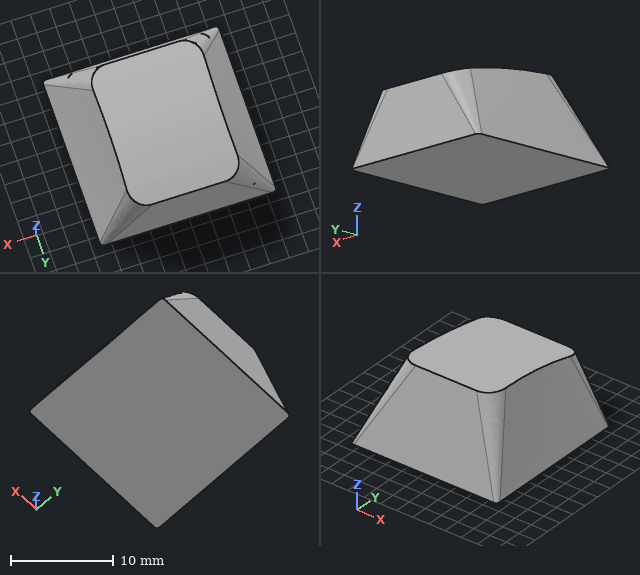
import cadquery as cq
import math

base_side = 18.2
base_corner_radius = 0.42

top_width = 11.61
front_y = -5.53
front_height = 9.3
back_y = 9.0
back_height = 7.23
top_corner_radius = 2.04

top_arc_radius = 51.87

wall_overrun = 1.12

half_base = base_side / 2


def extend_wall(base_value, top_value):
    """Follow a straight wall from its base past its top outline."""
    return base_value + wall_overrun * (top_value - base_value)


def rounded_rectangle(plane, width, length, radius):
    """Rounded rectangle wire centred on a plane."""
    outline = cq.Workplane(plane).rect(width, length).val()
    return outline.fillet2D(radius, outline.Vertices())


def tapered_body():
    """Ruled walls from the level base outline to the tilted upper outline."""
    width = 2 * extend_wall(half_base, top_width / 2)
    y_front = extend_wall(-half_base, front_y)
    y_back = extend_wall(half_base, back_y)
    z_front = extend_wall(0, front_height)
    z_back = extend_wall(0, back_height)
    radius = extend_wall(base_corner_radius, top_corner_radius)

    upper_plane = cq.Plane(
        origin=(0, (y_front + y_back) / 2, (z_front + z_back) / 2),
        xDir=(1, 0, 0),
        normal=(0, z_front - z_back, y_back - y_front),
    )
    length = math.hypot(y_back - y_front, z_back - z_front)

    base = rounded_rectangle(cq.Plane.XY(), base_side, base_side, base_corner_radius)
    upper = rounded_rectangle(upper_plane, width, length, radius)
    return cq.Workplane(cq.Solid.makeLoft([base, upper], True))


def space_under_top_surface():
    """Cylinder along X whose crest lies over the front edge of the top outline."""
    return (
        cq.Workplane("YZ")
        .center(front_y, front_height - top_arc_radius)
        .circle(top_arc_radius)
        .extrude(half_base, both=True)
    )


result = tapered_body().intersect(space_under_top_surface())